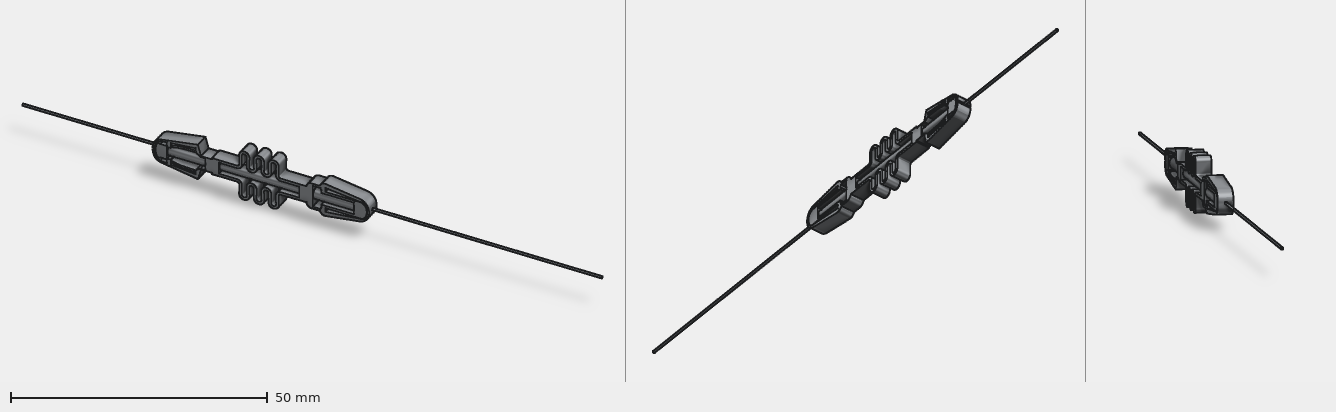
import cadquery as cq
import math


wire_length = 128.0
wire_diameter = 0.5

frame_depth = 3.17
frame_height = 11.34
block_half_height = 1.9
block_length = 3.0
low_half_height = frame_depth / 2

end_tube_diameter = 2.7
middle_tube_diameter = 2.4
left_tube_length = 8.45
middle_tube_length = 17.75
right_tube_length = 9.1

spring_center = -11.0
left_block_end = spring_center - middle_tube_length / 2
left_block_start = left_block_end - block_length
left_head_end = left_block_start - left_tube_length
right_block_start = spring_center + middle_tube_length / 2
right_block_end = right_block_start + block_length
right_head_start = right_block_end + right_tube_length

bar_bottom = end_tube_diameter / 2

loop_count = 3
loop_inner_radius = 0.5
spring_thickness = 0.62
valley_bend_radius = loop_inner_radius + spring_thickness / 2
crest_widening = 0.05
crest_bend_radius = valley_bend_radius + crest_widening
loop_pitch = 4 * valley_bend_radius
spring_bar_height = block_half_height - spring_thickness / 2
spring_loop_top = frame_height / 2 - spring_thickness / 2

left_nose = -34.55
left_strap_thickness = 0.42
left_arm_start = (-32.8, 2.68)
left_arm_peak = (-24.5, 4.05)
left_arm_root_thickness = 0.38
left_arm_tip_thickness = 0.95
left_shoulder = (-34.05, 1.8)
left_shoulder_middle = (-33.5, 2.34)
left_head_gap = 0.3
link_width = 0.8
inner_bar_thickness = 0.45
inner_bar_knee = (-28.5, 1.98)
inner_bar_end_height = 2.12
stop_width = 0.5
stop_foot_length = 0.92
stop_throat = 1.0

right_nose = 13.37
right_arm_peak = (3.9, 3.75)
right_arm_end = (11.2, 2.68)
right_arm_thickness = 0.67
right_shoulder = (13.17, 1.1)
right_shoulder_middle = (12.5, 2.08)
right_strap_thickness = 0.42
right_head_gap = 0.12
leg_width = 0.85
leg_foot_start = 2.8
hook_depth = 0.94
hook_start = (2.45, 2.9)
hook_middle = (2.85, 3.5)
flange_width = 1.45
flange_height = 2.95
flange_radius = 1.3
lip_thickness = 0.5


def profile():
    """Sketch plane XZ; extruding both ways centres the frame on Y = 0."""
    return cq.Workplane("XZ")


def slab(outline):
    return outline.close().extrude(frame_depth / 2, both=True)


def plate(points):
    return slab(profile().polyline(points))


def block(start, end, half_height):
    return plate([
        (start, -half_height),
        (end, -half_height),
        (end, half_height),
        (start, half_height),
    ])


def inset(point, center, distance):
    """Point moved by a distance straight towards a center."""
    dx = center[0] - point[0]
    dz = center[1] - point[1]
    share = distance / math.hypot(dx, dz)
    return (point[0] + share * dx, point[1] + share * dz)


def mirrored(point):
    return (point[0], -point[1])


def region_under_spring(offset):
    """Area between the X axis and the spring's center line moved outwards by an offset."""
    crest_radius = crest_bend_radius + offset
    valley_radius = valley_bend_radius - offset
    valley_center = spring_bar_height + valley_bend_radius
    crest_center = spring_loop_top - crest_bend_radius
    height = spring_bar_height + offset
    crest = spring_loop_top + offset
    first_loop = spring_center - (loop_count - 1) / 2 * loop_pitch
    last_loop = first_loop + (loop_count - 1) * loop_pitch
    valley_reach = loop_pitch / 2
    foot_reach = valley_reach - valley_radius
    diagonal = valley_radius * math.sqrt(0.5)

    outline = profile().moveTo(left_block_end, 0).lineTo(left_block_end, height)
    outline = outline.lineTo(first_loop - valley_reach, height).threePointArc(
        (first_loop - valley_reach + diagonal, valley_center - diagonal),
        (first_loop - foot_reach, valley_center),
    )
    for index in range(loop_count):
        loop = first_loop + index * loop_pitch
        outline = outline.lineTo(loop - crest_radius, crest_center).threePointArc(
            (loop, crest), (loop + crest_radius, crest_center)
        )
        outline = outline.lineTo(loop + foot_reach, valley_center)
        if index < loop_count - 1:
            outline = outline.threePointArc(
                (loop + valley_reach, height), (loop + loop_pitch - foot_reach, valley_center)
            )
    outline = outline.threePointArc(
        (last_loop + valley_reach - diagonal, valley_center - diagonal),
        (last_loop + valley_reach, height),
    )
    return slab(outline.lineTo(right_block_start, height).lineTo(right_block_start, 0))


def serpentine():
    """Upper spring: round loops between two bars that start at the blocks."""
    outer = region_under_spring(spring_thickness / 2)
    return outer.cut(region_under_spring(-spring_thickness / 2))


def nose_head(flat_end, corner, shoulder_middle, shoulder, nose):
    """Block whose outer end follows the inside of the nose strap."""
    return slab(
        profile().moveTo(flat_end, corner[1]).lineTo(*corner)
        .threePointArc(shoulder_middle, shoulder)
        .threePointArc((nose, 0), mirrored(shoulder))
        .threePointArc(mirrored(shoulder_middle), mirrored(corner))
        .lineTo(flat_end, -corner[1])
    )


def nose_strap(arm, arm_thickness, thickness, shoulder_middle, shoulder, nose, inward):
    """Band round a nose from the upper arm to the lower one."""
    arm_inner = (arm[0], arm[1] - arm_thickness)
    middle_inner = inset(shoulder_middle, (arm[0], 0), thickness)
    shoulder_inner = inset(shoulder, (arm[0], 0), thickness)
    nose_inner = nose + inward * thickness
    return slab(
        profile().moveTo(*arm).threePointArc(shoulder_middle, shoulder)
        .threePointArc((nose, 0), mirrored(shoulder))
        .threePointArc(mirrored(shoulder_middle), mirrored(arm))
        .lineTo(*mirrored(arm_inner))
        .threePointArc(mirrored(middle_inner), mirrored(shoulder_inner))
        .threePointArc((nose_inner, 0), shoulder_inner)
        .threePointArc(middle_inner, arm_inner)
    )


def left_clamp_side():
    """Upper arm with its link to the head, inner bar and stop on the block."""
    stop_start = left_arm_peak[0] - stop_width
    arm_start_inner = (left_arm_start[0], left_arm_start[1] - left_arm_root_thickness)
    arm_tip_inner = (left_arm_peak[0], left_arm_peak[1] - left_arm_tip_thickness)
    arm = plate([left_arm_start, left_arm_peak, arm_tip_inner, arm_start_inner])
    link = plate([
        (left_head_end, bar_bottom),
        (left_head_end + link_width, bar_bottom),
        (left_head_end + link_width, left_arm_start[1]),
        (left_head_end, left_arm_start[1]),
    ])
    inner_bar_bottom = [
        (left_head_end, bar_bottom),
        inner_bar_knee,
        (left_arm_peak[0], inner_bar_end_height),
    ]
    inner_bar_top = [(x, z + inner_bar_thickness) for x, z in inner_bar_bottom]
    inner_bar = plate(inner_bar_bottom + inner_bar_top[::-1])
    stop = plate([
        (stop_start, arm_tip_inner[1]),
        left_arm_peak,
        (left_block_start - stop_foot_length, low_half_height),
        (left_block_start, low_half_height),
        (left_block_start, bar_bottom),
        (left_block_start - stop_throat, bar_bottom),
        (stop_start, inner_bar_end_height),
    ])
    return arm.union(link).union(inner_bar).union(stop)


def left_clamp():
    """Head and nose strap at the -X end."""
    center = (left_arm_start[0], 0)
    clearance = left_strap_thickness + left_head_gap
    head = nose_head(
        left_head_end,
        (left_arm_start[0], low_half_height),
        inset(left_shoulder_middle, center, clearance),
        inset(left_shoulder, center, clearance),
        left_nose + clearance,
    )
    strap = nose_strap(
        left_arm_start, left_arm_root_thickness, left_strap_thickness,
        left_shoulder_middle, left_shoulder, left_nose, 1,
    )
    return head, strap


def right_clamp_side():
    """Upper flange with its lip, and the leg, leaf bar and arm that the lip carries."""
    flange_start = right_block_end - flange_width
    arc_middle = flange_radius * (1 - math.sqrt(0.5))
    flange = slab(
        profile().moveTo(right_block_end, 0).lineTo(flange_start, 0)
        .lineTo(flange_start, flange_height - flange_radius)
        .threePointArc(
            (flange_start + arc_middle, flange_height - arc_middle),
            (flange_start + flange_radius, flange_height),
        )
        .lineTo(right_block_end, flange_height)
    )
    lip_bottom = flange_height - lip_thickness
    leg_end = leg_foot_start + leg_width
    lip = plate([
        (right_block_end, lip_bottom),
        (leg_foot_start, lip_bottom),
        (leg_foot_start, flange_height),
        (right_block_end, flange_height),
    ])
    arm_leg_top = (leg_end, right_arm_peak[1] - hook_depth)
    arm_end_inner = (right_arm_end[0], right_arm_end[1] - right_arm_thickness)
    arm = slab(
        profile().moveTo(leg_foot_start, bar_bottom).lineTo(leg_foot_start, block_half_height)
        .lineTo(*hook_start).threePointArc(hook_middle, right_arm_peak)
        .lineTo(*right_arm_end).lineTo(*arm_end_inner).lineTo(*arm_leg_top)
        .lineTo(leg_end, bar_bottom)
    )
    bar = plate([
        (leg_foot_start, bar_bottom),
        (right_head_start, bar_bottom),
        (right_head_start, block_half_height),
        (leg_foot_start, block_half_height),
    ])
    return flange.union(lip).union(arm).union(bar)


def right_clamp():
    """Head and nose strap at the +X end."""
    center = (right_arm_end[0], 0)
    clearance = right_strap_thickness + right_head_gap
    head = nose_head(
        right_head_start,
        (right_arm_end[0], block_half_height),
        inset(right_shoulder_middle, center, clearance),
        inset(right_shoulder, center, clearance),
        right_nose - clearance,
    )
    strap = nose_strap(
        right_arm_end, right_arm_thickness, right_strap_thickness,
        right_shoulder_middle, right_shoulder, right_nose, -1,
    )
    return head, strap


def rod(start, length, diameter):
    return cq.Workplane("YZ", origin=(start, 0, 0)).circle(diameter / 2).extrude(length)


def make_wire():
    return rod(-wire_length / 2, wire_length, wire_diameter)


def make_tube(start, length, diameter):
    return rod(start, length, diameter).cut(make_wire())


def nose_slot():
    """Opening for the wire, across the full depth of the left nose strap only."""
    length = left_strap_thickness + left_head_gap / 2
    return (
        cq.Workplane("XY", origin=(left_nose, 0, 0))
        .box(length, frame_depth, wire_diameter, centered=(False, True, True))
    )


def make_frame():
    """One flexure body: blocks, spring and both clamps, bored for the wire."""
    step = (left_block_start + left_block_end) / 2
    frame = block(left_block_start, left_block_end, low_half_height)
    frame = frame.union(block(step, left_block_end, block_half_height))
    frame = frame.union(block(right_block_start, right_block_end, block_half_height))
    for side in (serpentine(), left_clamp_side(), right_clamp_side()):
        frame = frame.union(side).union(side.mirror("XY"))
    for piece in left_clamp() + right_clamp():
        frame = frame.union(piece)
    return frame.cut(nose_slot()).cut(make_wire())


wire = make_wire()
left_tube = make_tube(left_head_end, left_tube_length, end_tube_diameter)
middle_tube = make_tube(left_block_end, middle_tube_length, middle_tube_diameter)
right_tube = make_tube(right_block_end, right_tube_length, end_tube_diameter)
frame = make_frame()

result = cq.Compound.makeCompound(
    [wire.val(), left_tube.val(), middle_tube.val(), right_tube.val(), *frame.vals()]
)